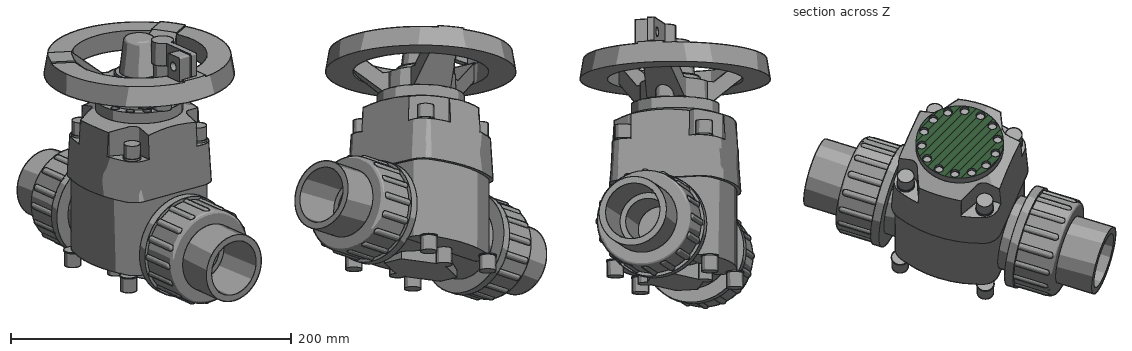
import cadquery as cq
import math


PIPE_HALF_LENGTH = 109.5
PIPE_RADIUS = 25.0
NECK_RADIUS = 27.2
SOCKET_RADIUS = 20.1
SOCKET_DEPTH = 37.2
PASSAGE_RADIUS = 16.0
PASSAGE_DEPTH = 70.0
NUT_RADIUS = 34.8
NUT_OUTER_X = 82.1
NUT_EDGE_FILLET = 2.5
FLANGE_RADIUS = 37.2
FLANGE_OUTER_X = 54.0
FLANGE_INNER_X = 47.7
NUT_RIB_COUNT = 16
NUT_RIB_RADIUS = 2.6
NUT_RIB_CENTRE_RADIUS = 33.7
NUT_RIB_OUTER_X = 80.2
NUT_RIB_NOSE_FILLET = 2.5

BOLT_RADIUS = 6.0
WASHER_RADIUS = 6.4

BODY_BOTTOM = -20.0
BODY_TOP = 36.8
BODY_PLAN = {"half_x": 39.0, "flat_y": 25.5, "corner_x": 30.7, "corner_y": 36.5, "half_y": 42.5}
FOOT_BOTTOM = -31.5
FOOT_BOSS_RADIUS = 5.7
FOOT_BOSS_Y = 21.7
FOOT_RIB_Y = 19.0
FOOT_END_X = 30.7
FOOT_END_Y = 7.9
FOOT_BOLT_X = 32.5
FOOT_BOLT_Y = 35.0
FOOT_WASHER_HEIGHT = 0.9

BONNET_PLAN = {"half_x": 41.2, "flat_y": 26.7, "corner_x": 33.3, "corner_y": 38.8, "half_y": 45.1}
BONNET_TAPER = 3.5
POCKET_FLOOR = 67.0
COLLAR_RADIUS = 31.3
COLLAR_BOTTOM = 89.4
COLLAR_TOP = 97.5
ROOF_SLOPE = 0.35
ROOF_OUTER_RADIUS = 65.7
BONNET_BOLT_OFFSET = 30.0
BONNET_BOLT_TOP = 78.5
BONNET_WASHER_HEIGHT = 1.5
POCKET_RADIUS = 8.3
POCKET_ARC_END_Y = 28.3
POCKET_MOUTH_X = 16.2
POCKET_MOUTH_Y = 40.3
INDEX_HOLE_COUNT = 14
INDEX_HOLE_RADIUS = 3.0
INDEX_HOLE_CIRCLE = 27.2
INDEX_HOLE_DEPTH = 4.4

HUB_RADIUS = 25.0
HUB_BOTTOM = 98.8
HUB_TOP = 112.5
RIM_BOTTOM = 115.9
RIM_TOP = 130.5
RIM_INNER_RADIUS = 48.5
RIM_OUTER_RADIUS = 136.0 / 2
RIM_DRAFT = 0.17
PAD_TOP = 131.6
SPOKE_COUNT = 3
SPOKE_INNER_X = 25.0
SPOKE_OUTER_X = 48.0
SPOKE_INNER_HALF_WIDTH = 13.8
SPOKE_OUTER_HALF_WIDTH = 9.6
SPOKE_FILLET = 4.4
RIM_OVERLAP = 1.0

CAP_RING_RADIUS = 18.0
CAP_RING_TOP = 117.5
CAP_RING_CHAMFER = 0.9
CAP_BASE_RADIUS = 14.2
CAP_TOP_RADIUS = 11.0
CAP_TOP = 143.7
CAP_FILLET = 2.8

LATCH_X = 27.0
LATCH_RADIUS = 7.9
LATCH_PIN_RADIUS = 6.5
LATCH_BOTTOM = 132.5
LATCH_TOP = 149.5
LATCH_ARM_END_X = 63.3
LATCH_ARM_THICKNESS = 4.8
LUG_START_X = 48.5
LUG_END_X = 61.8
LUG_FRONT_Y = -12.0
LUG_TOP = 148.7
LATCH_CORNER_FILLET = 1.3
LOCK_HOLE_X = 54.8
LOCK_HOLE_Z = 140.2
LOCK_HOLE_RADIUS = 3.3


def disc(radius, bottom, top, x=0.0, y=0.0):
    """Upright cylinder between two heights."""
    return cq.Workplane("XY", origin=(x, y, bottom)).circle(radius).extrude(top - bottom)


def pipe_disc(radius, start, end):
    """Cylinder on the pipe axis between two X positions."""
    return cq.Workplane("YZ", origin=(start, 0, 0)).circle(radius).extrude(end - start)


def block(x0, x1, y0, y1, z0, z1):
    """Box given by its limits along each axis."""
    return cq.Workplane("XY").box(x1 - x0, y1 - y0, z1 - z0, centered=False).translate((x0, y0, z0))


def four_corners(x, y):
    return [(x, y), (-x, y), (-x, -y), (x, -y)]


def corner_middle(half_x, flat_y, corner_x, corner_y):
    """Middle of the corner arc that leaves the flat X side tangentially."""
    run = half_x - corner_x
    rise = corner_y - flat_y
    radius = (run**2 + rise**2) / (2 * run)
    half_angle = math.atan2(run, rise)
    return half_x - radius * (1 - math.cos(half_angle)), flat_y + radius * math.sin(half_angle)


def body_outline(bottom, half_x, flat_y, corner_x, corner_y, half_y):
    """Closed outline with flat X sides, rounded corners and bowed Y sides."""
    mid_x, mid_y = corner_middle(half_x, flat_y, corner_x, corner_y)
    return (
        cq.Workplane("XY", origin=(0, 0, bottom))
        .moveTo(half_x, -flat_y)
        .lineTo(half_x, flat_y)
        .threePointArc((mid_x, mid_y), (corner_x, corner_y))
        .threePointArc((0, half_y), (-corner_x, corner_y))
        .threePointArc((-mid_x, mid_y), (-half_x, flat_y))
        .lineTo(-half_x, -flat_y)
        .threePointArc((-mid_x, -mid_y), (-corner_x, -corner_y))
        .threePointArc((0, -half_y), (corner_x, -corner_y))
        .threePointArc((mid_x, -mid_y), (half_x, -flat_y))
        .close()
    )


def make_union_nut():
    """Ribbed union nut on the -X side, with its flange facing the body."""
    nut = pipe_disc(NUT_RADIUS, -NUT_OUTER_X, -FLANGE_INNER_X).faces("<X").edges().fillet(NUT_EDGE_FILLET)
    nut = nut.union(pipe_disc(FLANGE_RADIUS, -FLANGE_OUTER_X, -FLANGE_INNER_X))
    rib = (
        pipe_disc(NUT_RIB_RADIUS, -NUT_RIB_OUTER_X, -FLANGE_INNER_X)
        .faces("<X").edges().fillet(NUT_RIB_NOSE_FILLET)
        .translate((0, 0, NUT_RIB_CENTRE_RADIUS))
    )
    for index in range(NUT_RIB_COUNT):
        nut = nut.union(rib.rotate((0, 0, 0), (1, 0, 0), index * 360 / NUT_RIB_COUNT))
    return nut


def make_bore():
    """Stepped blind bore of the -X pipe end."""
    socket = pipe_disc(SOCKET_RADIUS, -PIPE_HALF_LENGTH, SOCKET_DEPTH - PIPE_HALF_LENGTH)
    passage = pipe_disc(PASSAGE_RADIUS, -PIPE_HALF_LENGTH, PASSAGE_DEPTH - PIPE_HALF_LENGTH)
    return socket.union(passage)


def make_pipe_run():
    pipe = pipe_disc(PIPE_RADIUS, -PIPE_HALF_LENGTH, PIPE_HALF_LENGTH)
    pipe = pipe.union(pipe_disc(NECK_RADIUS, -FLANGE_OUTER_X, FLANGE_OUTER_X))
    nut = make_union_nut()
    return pipe.union(nut).union(nut.mirror("YZ"))


def make_lower_body():
    body = body_outline(BODY_BOTTOM, **BODY_PLAN).extrude(BODY_TOP - BODY_BOTTOM)
    foot = (
        cq.Workplane("XY", origin=(0, 0, FOOT_BOTTOM))
        .polyline([
            (FOOT_END_X, -FOOT_END_Y),
            (FOOT_END_X, FOOT_END_Y),
            (FOOT_BOSS_RADIUS, FOOT_RIB_Y),
            (-FOOT_BOSS_RADIUS, FOOT_RIB_Y),
            (-FOOT_END_X, FOOT_END_Y),
            (-FOOT_END_X, -FOOT_END_Y),
            (-FOOT_BOSS_RADIUS, -FOOT_RIB_Y),
            (FOOT_BOSS_RADIUS, -FOOT_RIB_Y),
        ])
        .close()
        .extrude(-FOOT_BOTTOM)
    )
    body = body.union(foot)
    for side in (-1, 1):
        body = body.union(disc(FOOT_BOSS_RADIUS, FOOT_BOTTOM, 0, 0, side * FOOT_BOSS_Y))
    for x, y in four_corners(FOOT_BOLT_X, FOOT_BOLT_Y):
        body = body.union(disc(WASHER_RADIUS, BODY_BOTTOM - FOOT_WASHER_HEIGHT, BODY_BOTTOM, x, y))
        body = body.union(disc(BOLT_RADIUS, FOOT_BOTTOM, BODY_BOTTOM, x, y))
    return body


def make_corner_pocket():
    """Open pocket around the +X +Y bolt: a straight wall, a round corner and a slanted wall."""
    wall_y = BONNET_BOLT_OFFSET - POCKET_RADIUS
    arc_end_drop = BONNET_BOLT_OFFSET - POCKET_ARC_END_Y
    arc_end_x = BONNET_BOLT_OFFSET - math.sqrt(POCKET_RADIUS**2 - arc_end_drop**2)
    outside = 2 * BONNET_BOLT_OFFSET
    arc_middle = BONNET_BOLT_OFFSET - POCKET_RADIUS * math.sqrt(0.5)
    return (
        cq.Workplane("XY", origin=(0, 0, POCKET_FLOOR))
        .moveTo(outside, wall_y)
        .lineTo(BONNET_BOLT_OFFSET, wall_y)
        .threePointArc((arc_middle, arc_middle), (arc_end_x, POCKET_ARC_END_Y))
        .lineTo(POCKET_MOUTH_X, POCKET_MOUTH_Y)
        .lineTo(POCKET_MOUTH_X, outside)
        .lineTo(outside, outside)
        .close()
        .extrude(COLLAR_TOP - POCKET_FLOOR)
    )


def make_bonnet():
    blank = body_outline(BODY_TOP, **BONNET_PLAN)
    bonnet = blank.extrude(COLLAR_BOTTOM - BODY_TOP, taper=BONNET_TAPER)
    roof_drop = ROOF_SLOPE * (ROOF_OUTER_RADIUS - COLLAR_RADIUS)
    above_roof = (
        cq.Workplane("XZ")
        .polyline([
            (COLLAR_RADIUS, COLLAR_BOTTOM),
            (ROOF_OUTER_RADIUS, COLLAR_BOTTOM - roof_drop),
            (ROOF_OUTER_RADIUS, COLLAR_TOP),
            (COLLAR_RADIUS, COLLAR_TOP),
        ])
        .close()
        .revolve(360, (0, 0, 0), (0, 1, 0))
    )
    bonnet = bonnet.cut(above_roof)
    pocket = make_corner_pocket()
    for cutter in (pocket, pocket.mirror("YZ")):
        bonnet = bonnet.cut(cutter).cut(cutter.mirror("XZ"))
    for x, y in four_corners(BONNET_BOLT_OFFSET, BONNET_BOLT_OFFSET):
        bonnet = bonnet.union(disc(WASHER_RADIUS, POCKET_FLOOR, POCKET_FLOOR + BONNET_WASHER_HEIGHT, x, y))
        bonnet = bonnet.union(disc(BOLT_RADIUS, POCKET_FLOOR, BONNET_BOLT_TOP, x, y))
    index_holes = (
        cq.Workplane("XY", origin=(0, 0, COLLAR_TOP))
        .polarArray(INDEX_HOLE_CIRCLE, 0, 360, INDEX_HOLE_COUNT)
        .circle(INDEX_HOLE_RADIUS)
        .extrude(-INDEX_HOLE_DEPTH)
    )
    collar = disc(COLLAR_RADIUS, COLLAR_BOTTOM, COLLAR_TOP).cut(index_holes)
    return bonnet.union(collar)


def make_rim(top):
    """Ring with a drafted outer side, up to the given height."""
    top_radius = RIM_OUTER_RADIUS - RIM_DRAFT * (top - RIM_BOTTOM)
    return (
        cq.Workplane("XZ")
        .polyline([
            (RIM_INNER_RADIUS, RIM_BOTTOM),
            (RIM_OUTER_RADIUS, RIM_BOTTOM),
            (top_radius, top),
            (RIM_INNER_RADIUS, top),
        ])
        .close()
        .revolve(360, (0, 0, 0), (0, 1, 0))
    )


def make_spoke():
    """Sloping +X spoke: a bent bar that narrows towards the rim."""
    slope = (PAD_TOP - HUB_TOP) / (SPOKE_OUTER_X - SPOKE_INNER_X)
    end_x = RIM_INNER_RADIUS + RIM_OVERLAP
    side_profile = (
        cq.Workplane("XZ")
        .polyline([
            (0, HUB_BOTTOM),
            (SPOKE_INNER_X, HUB_BOTTOM),
            (end_x, HUB_BOTTOM + slope * (end_x - SPOKE_INNER_X)),
            (end_x, PAD_TOP),
            (SPOKE_OUTER_X, PAD_TOP),
            (SPOKE_INNER_X, HUB_TOP),
            (0, HUB_TOP),
        ])
        .close()
        .extrude(RIM_INNER_RADIUS, both=True)
    )
    narrowing = (SPOKE_INNER_HALF_WIDTH - SPOKE_OUTER_HALF_WIDTH) / (SPOKE_OUTER_X - SPOKE_INNER_X)
    root_half_width = SPOKE_INNER_HALF_WIDTH + narrowing * SPOKE_INNER_X
    end_half_width = SPOKE_OUTER_HALF_WIDTH - narrowing * (end_x - SPOKE_OUTER_X)
    plan = (
        cq.Workplane("XY", origin=(0, 0, HUB_BOTTOM))
        .polyline([
            (0, -root_half_width),
            (end_x, -end_half_width),
            (end_x, end_half_width),
            (0, root_half_width),
        ])
        .close()
        .extrude(PAD_TOP - HUB_BOTTOM)
    )
    return side_profile.intersect(plan)


def make_handwheel():
    hub = disc(HUB_RADIUS, HUB_BOTTOM, HUB_TOP)
    spoke = make_spoke()
    root_box = cq.selectors.BoxSelector(
        (HUB_RADIUS / 2, -HUB_RADIUS, HUB_BOTTOM), (SPOKE_INNER_X, HUB_RADIUS, HUB_TOP)
    )
    wheel = hub.union(spoke).edges("|Z").edges(root_box).fillet(SPOKE_FILLET)
    wheel = wheel.union(disc(HUB_RADIUS, COLLAR_TOP, HUB_BOTTOM))
    wheel = wheel.union(make_rim(RIM_TOP))
    pad_limits = block(
        0, RIM_OUTER_RADIUS,
        -SPOKE_OUTER_HALF_WIDTH, SPOKE_OUTER_HALF_WIDTH,
        RIM_BOTTOM, PAD_TOP,
    )
    pad = make_rim(PAD_TOP).intersect(pad_limits)
    for index in range(SPOKE_COUNT):
        angle = index * 360 / SPOKE_COUNT
        for part in (spoke, pad):
            wheel = wheel.union(part.rotate((0, 0, 0), (0, 0, 1), angle))
    return wheel


def make_cap():
    ring = disc(CAP_RING_RADIUS, HUB_TOP, CAP_RING_TOP).faces(">Z").edges().chamfer(CAP_RING_CHAMFER)
    cap = (
        cq.Workplane("XZ")
        .polyline([
            (0, HUB_TOP),
            (CAP_BASE_RADIUS, HUB_TOP),
            (CAP_BASE_RADIUS, CAP_RING_TOP),
            (CAP_TOP_RADIUS, CAP_TOP),
            (0, CAP_TOP),
        ])
        .close()
        .revolve(360, (0, 0, 0), (0, 1, 0))
        .faces(">Z").edges().fillet(CAP_FILLET)
    )
    return ring.union(cap)


def make_latch():
    """Pin on the +X spoke carrying an arm and a drilled padlock lug over the rim."""
    latch = disc(LATCH_PIN_RADIUS, COLLAR_TOP, LATCH_BOTTOM, LATCH_X)
    latch = latch.union(disc(LATCH_RADIUS, LATCH_BOTTOM, LATCH_TOP, LATCH_X))
    half_arm = LATCH_ARM_THICKNESS / 2
    arm = block(LATCH_X, LATCH_ARM_END_X, -half_arm, half_arm, LATCH_BOTTOM, LATCH_TOP)
    arm = arm.edges(">X and >Z").fillet(LATCH_CORNER_FILLET)
    lug = block(LUG_START_X, LUG_END_X, LUG_FRONT_Y, 0, RIM_TOP, LUG_TOP)
    lug = lug.faces(">Z").edges("|Y").fillet(LATCH_CORNER_FILLET)
    lock_hole = (
        cq.Workplane("XZ", origin=(LOCK_HOLE_X, 0, LOCK_HOLE_Z))
        .circle(LOCK_HOLE_RADIUS)
        .extrude(RIM_INNER_RADIUS, both=True)
    )
    return latch.union(arm).union(lug).cut(lock_hole)


bore = make_bore()
result = make_pipe_run().union(make_lower_body()).cut(bore).cut(bore.mirror("YZ"))
for section in (make_bonnet(), make_handwheel(), make_cap(), make_latch()):
    result = result.union(section)